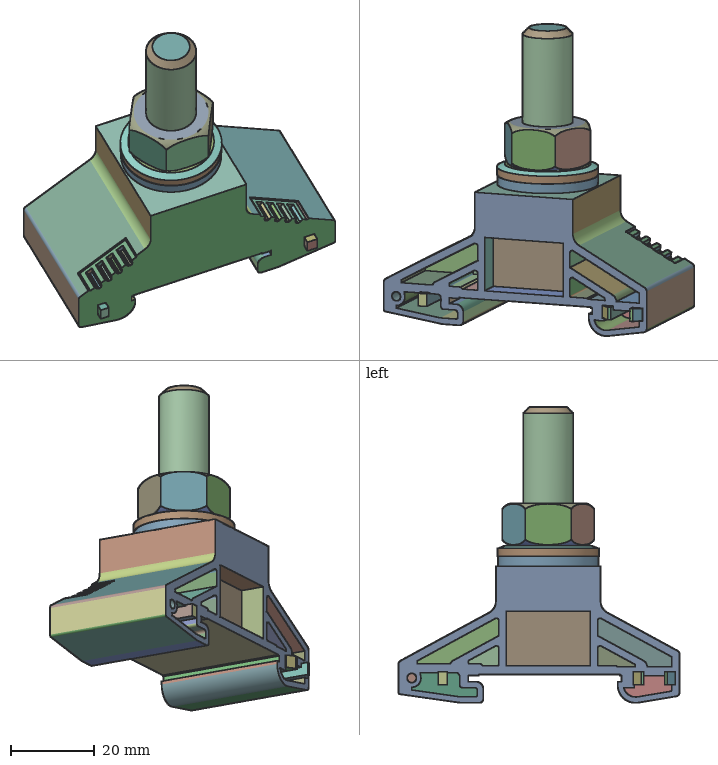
import cadquery as cq
import math


width = 32.0
x_min = -width / 2
x_max = width / 2
end_pos = 35.7
end_neg = -31.3
block_half = 12.5
block_top = 32.6
neck_fillet = 3.0
end_fillet = 1.0

slope = math.radians(28.5)
roof_z_at_axis = 29.18
roof_wall = 1.95
upper_cavity_height = 4.0
rib = 1.77

rail_face = 6.75
rail_step = 0.22
rail_relief_pos = 16.5
rail_relief_neg = -17.05
slot_root_pos = 19.0
slot_root_neg = -17.4
hook_top = 5.1
hook_wall = 1.42

hook_pos_tip = 15.45
hook_pos_upper_radius = 1.75
hook_pos_lower_radius = 1.0
foot_pos_angle = math.radians(8.1)
foot_pos_start = 20.8
hook_neg_radius = 4.3
hook_neg_tip = -16.5
hook_neg_axis = hook_neg_tip - hook_neg_radius
foot_neg_angle = math.radians(9.5)

cavity_depth = width / 2
cavity_inner = 11.75
cavity_corner = 0.6
rib_nose_y = 23.55
rib_nose_radius = 1.7

pocket_size_y = 20.0
pocket_bottom = 8.85
pocket_top = 21.8
pocket_depth = 6.0

latch_hole_y = 32.5
latch_hole_z = 5.95
latch_hole_diameter = 2.2
latch_hole_rim = 2.2

pin_length = 1.8
pin_root = 1.0
pin_bottom = 4.4
pin_top = 7.45
near_pin_range = (24.1, 26.25)
far_pin_ranges = ((27.6, 30.2), (-26.35, -24.25))
clip_middle = -25.25
clip_inner = 2.45
clip_tip = 3.15
clip_outer = 5.05
clip_lead_in = 1.4

seat_centre_y = 22.5
seat_length = 14.34
seat_flank_depth = 0.12
seat_bevel = 0.35
seat_width = 6.25
notch_count = 4
notch_pitch = 3.06
notch_length = 1.87
notch_width = 5.3
flank_lean = math.radians(18)
notch_flank_depth = 0.92
notch_bevel = 0.35

stud_diameter = 12.0
stud_top = 70.55
stud_chamfer = 1.55
washer_diameter = 24.0
washer_top = 34.9
spring_diameter = 24.2
spring_edge = 36.8
spring_top = 37.5
spring_top_diameter = 20.5
nut_across_flats = 19.0
nut_top = 47.6
nut_face_diameter = 17.8
nut_flat_drop = 0.2
nut_corner_drop = 1.4


def roof_z(y, below=0.0):
    """Height at y of a line parallel to the roof, lying `below` it (square to the roof)."""
    return roof_z_at_axis - abs(y) * math.tan(slope) - below / math.cos(slope)


def foot_pos_z(y, inset=0.0):
    """Height of the rising +Y foot, or of a line `inset` inside it."""
    return (y - foot_pos_start) * math.tan(foot_pos_angle) + inset / math.cos(foot_pos_angle)


def foot_neg_z(y, inset=0.0):
    """Height of the -Y foot, tangent to the round hook, or of a line `inset` inside it."""
    tangent_drop = (hook_neg_radius - inset) / math.cos(foot_neg_angle)
    return hook_neg_radius - tangent_drop + (hook_neg_axis - y) * math.tan(foot_neg_angle)


def rounded_prism(corners, x_start, length):
    """Prism along X from (y, z, corner radius) corners; a zero radius stays sharp."""
    outline = None
    for i, (y, z, radius) in enumerate(corners):
        corner = cq.Vector(y, z)
        if radius == 0:
            enter, middle, leave = corner, None, corner
        else:
            to_last = (cq.Vector(*corners[i - 1][:2]) - corner).normalized()
            to_next = (cq.Vector(*corners[(i + 1) % len(corners)][:2]) - corner).normalized()
            half_angle = to_last.getAngle(to_next) / 2
            setback = radius / math.tan(half_angle)
            enter = corner + to_last * setback
            leave = corner + to_next * setback
            bisector = (to_last + to_next).normalized()
            middle = corner + bisector * (radius / math.sin(half_angle) - radius)
        if outline is None:
            outline = cq.Workplane("YZ", origin=(x_start, 0, 0)).moveTo(enter.x, enter.y)
        else:
            outline = outline.lineTo(enter.x, enter.y)
        if middle is not None:
            outline = outline.threePointArc((middle.x, middle.y), (leave.x, leave.y))
    return outline.close().extrude(length)


def cavity(corners):
    return rounded_prism(corners, x_min, cavity_depth)


def box(x_range, y_range, z_range):
    size = [high - low for low, high in (x_range, y_range, z_range)]
    return cq.Workplane("XY").box(*size, centered=False).translate((x_range[0], y_range[0], z_range[0]))


def housing_blank():
    relief = rail_face - rail_step
    return rounded_prism(
        [
            (block_half, block_top, 0),
            (block_half, roof_z(block_half), neck_fillet),
            (end_pos, roof_z(end_pos), end_fillet),
            (end_pos, foot_pos_z(end_pos), end_fillet / 2),
            (foot_pos_start, 0, 0),
            (hook_pos_tip, 0, hook_pos_lower_radius),
            (hook_pos_tip, hook_top, hook_pos_upper_radius),
            (slot_root_pos, hook_top, 0),
            (slot_root_pos, relief, 0),
            (rail_relief_pos, relief, 0),
            (rail_relief_pos, rail_face, 0),
            (rail_relief_neg, rail_face, 0),
            (rail_relief_neg, relief, 0),
            (slot_root_neg, relief, 0),
            (slot_root_neg, hook_top, 0),
            (hook_neg_tip, hook_top, 0),
            (hook_neg_tip, foot_neg_z(hook_neg_tip), hook_neg_radius),
            (end_neg, foot_neg_z(end_neg), end_fillet),
            (end_neg, roof_z(end_neg), end_fillet),
            (-block_half, roof_z(-block_half), neck_fillet),
            (-block_half, block_top, 0),
        ],
        x_min,
        width,
    )


def upper_cavities():
    rib_top = roof_wall + upper_cavity_height
    floor_pos = 9.34
    outer_pos = 31.2
    rib_end_pos = 22.85
    rib_end_run = 0.5
    long_wing = cavity([
        (cavity_inner, roof_z(cavity_inner, roof_wall), cavity_corner),
        (outer_pos, roof_z(outer_pos, roof_wall), 0),
        (outer_pos, floor_pos, 0),
        (rib_end_pos + rib_end_run, floor_pos, 0),
        (rib_end_pos, roof_z(rib_end_pos, rib_top), cavity_corner),
        (cavity_inner, roof_z(cavity_inner, rib_top), 0),
    ])
    floor_neg = 8.6
    outer_neg = -29.37
    short_wing = cavity([
        (-cavity_inner, roof_z(cavity_inner, roof_wall), cavity_corner),
        (outer_neg, roof_z(outer_neg, roof_wall), 0),
        (outer_neg, floor_neg, 0),
        (-rib_nose_y, floor_neg, 0),
        (-rib_nose_y, roof_z(rib_nose_y, rib_top), rib_nose_radius),
        (-cavity_inner, roof_z(cavity_inner, rib_top), 0),
    ])
    return long_wing.union(short_wing)


def lower_cavities():
    roof = roof_wall + upper_cavity_height + rib
    floor_inner = 8.87
    tip_radius = 0.25
    floor_pos = 9.34
    tip_pos = 19.0
    ramp_pos = (15.6, 16.1)
    long_wing = cavity([
        (cavity_inner, roof_z(cavity_inner, roof), cavity_corner),
        (tip_pos, roof_z(tip_pos, roof), tip_radius),
        (tip_pos, floor_pos, tip_radius),
        (ramp_pos[1], floor_pos, 0),
        (ramp_pos[0], floor_inner, 0),
        (cavity_inner, floor_inner, cavity_corner / 2),
    ])
    floor_neg = 8.64
    tip_neg = -20.68
    ramp_neg = (-16.1, -16.5)
    short_wing = cavity([
        (-cavity_inner, roof_z(cavity_inner, roof), cavity_corner),
        (tip_neg, roof_z(tip_neg, roof), tip_radius),
        (tip_neg, floor_neg, 0),
        (ramp_neg[1], floor_neg, 0),
        (ramp_neg[0], floor_inner, 0),
        (-cavity_inner, floor_inner, cavity_corner / 2),
    ])
    return long_wing.union(short_wing)


def latch_cylinder(radius):
    return (
        cq.Workplane("YZ", origin=(x_min, latch_hole_y, latch_hole_z))
        .circle(radius)
        .extrude(cavity_depth)
    )


def long_wing_hook_cavity():
    top = 7.2
    arm_top = hook_top - hook_wall
    arm_tip = hook_pos_tip + hook_wall
    arm_root = 21.1
    arm_floor = 1.5
    floor_bend = foot_pos_start + 0.5
    arm_tip_radius = 0.7
    arm_floor_radius = 0.4
    root_upper_radius = 0.9
    root_lower_radius = 0.6
    outer = 30.5
    pocket = cavity([
        (outer, top, 0),
        (arm_root, top, root_upper_radius),
        (arm_root, arm_top, root_lower_radius),
        (arm_tip, arm_top, arm_tip_radius),
        (arm_tip, arm_floor, arm_floor_radius),
        (floor_bend, arm_floor, 0),
        (latch_hole_y, foot_pos_z(latch_hole_y, hook_wall), 0),
        (latch_hole_y, latch_hole_z, 0),
        (outer, latch_hole_z, 0),
    ])
    return pocket.cut(latch_cylinder(latch_hole_rim))


def short_wing_hook_cavity():
    top = 6.5
    arm_top = hook_top - hook_wall
    arm_tip = hook_neg_tip - hook_wall
    arm_root = -20.45
    outer = -29.37
    outer_radius = 0.3
    nose_radius = hook_neg_radius - hook_wall
    pocket = cavity([
        (outer, top, 0),
        (arm_tip, top, 0),
        (arm_tip, foot_neg_z(arm_tip, hook_wall), nose_radius),
        (outer, foot_neg_z(outer, hook_wall), outer_radius),
    ])
    arm = box((x_min, x_max), (arm_root, hook_neg_tip), (arm_top, top))
    return pocket.cut(arm)


def trough(centre, length, top, flank_depth, bevel):
    """Trough section: leaning flanks from depth `top`, then 45 degree bevels to a flat floor."""
    mouth = length / 2
    shoulder = mouth - flank_depth * math.tan(flank_lean)
    flank_end = top + flank_depth
    half = [(mouth, top), (shoulder, flank_end), (shoulder - bevel, flank_end + bevel)]
    other_half = [(-u, depth) for u, depth in reversed(half)]
    return [(centre + u, depth) for u, depth in half + other_half]


def marker_seat():
    """Seat with notches in the +Y roof; local axes are uphill along the roof and into it."""
    def sunk_prism(points, x_width):
        plane = cq.Plane(
            origin=(x_max - x_width, seat_centre_y, roof_z(seat_centre_y)),
            xDir=(0, -math.cos(slope), math.sin(slope)),
            normal=(1, 0, 0),
        )
        return cq.Workplane(plane).polyline(points).close().extrude(x_width)

    seat = sunk_prism(trough(0, seat_length, 0, seat_flank_depth, seat_bevel), seat_width)
    seat_floor = seat_flank_depth + seat_bevel
    for i in range(notch_count):
        centre = (i - (notch_count - 1) / 2) * notch_pitch
        notch = trough(centre, notch_length, seat_floor, notch_flank_depth, notch_bevel)
        seat = seat.union(sunk_prism(notch, notch_width))
    return seat


def side_pins():
    """Square pins and clips on the side faces; on the -X face they start at the cavity floor."""
    z_range = (pin_bottom, pin_top)
    cavity_floor = x_min + cavity_depth
    tip_x = x_min - pin_length
    pins = box((tip_x, cavity_floor), near_pin_range, z_range)
    for y_range in far_pin_ranges:
        pins = pins.union(box((x_max - pin_root, x_max + pin_length), y_range, z_range))
    for side in (1, -1):
        flanks = [
            (cavity_floor, clip_inner),
            (tip_x, clip_inner),
            (tip_x, clip_tip),
            (tip_x + clip_lead_in, clip_outer),
            (cavity_floor, clip_outer),
        ]
        clip = (
            cq.Workplane("XY", origin=(0, 0, pin_bottom))
            .polyline([(x, clip_middle + side * offset) for x, offset in flanks])
            .close()
            .extrude(pin_top - pin_bottom)
        )
        pins = pins.union(clip)
    return pins


def make_housing():
    body = housing_blank()
    body = body.cut(upper_cavities()).cut(lower_cavities())
    body = body.cut(long_wing_hook_cavity()).cut(short_wing_hook_cavity())
    half_pocket = pocket_size_y / 2
    body = body.cut(
        box((x_min, x_min + pocket_depth), (-half_pocket, half_pocket), (pocket_bottom, pocket_top))
    )
    body = body.cut(latch_cylinder(latch_hole_diameter / 2))
    seat = marker_seat()
    body = body.cut(seat).cut(seat.mirror("XZ"))
    return body.union(side_pins())


def make_nut():
    corner_radius = nut_across_flats / math.sqrt(3)
    corner_turn = 30
    face_radius = nut_face_diameter / 2
    flat_radius = nut_across_flats / 2
    hexagon = (
        cq.Workplane("XY", origin=(0, 0, spring_top))
        .polygon(6, 2 * corner_radius)
        .extrude(nut_top - spring_top)
        .rotate((0, 0, 0), (0, 0, 1), corner_turn)
    )
    crowned_envelope = (
        cq.Workplane("XZ")
        .moveTo(0, spring_top)
        .lineTo(face_radius, spring_top)
        .threePointArc(
            (flat_radius, spring_top + nut_flat_drop),
            (corner_radius, spring_top + nut_corner_drop),
        )
        .lineTo(corner_radius, nut_top - nut_corner_drop)
        .threePointArc((flat_radius, nut_top - nut_flat_drop), (face_radius, nut_top))
        .lineTo(0, nut_top)
        .close()
        .revolve(360, (0, 0), (0, 1))
    )
    return hexagon.intersect(crowned_envelope)


def make_stud():
    """Stud with flat washer, bevelled spring washer and nut as one body."""
    stud_radius = stud_diameter / 2
    turned = (
        cq.Workplane("XZ")
        .polyline([
            (0, block_top),
            (washer_diameter / 2, block_top),
            (washer_diameter / 2, washer_top),
            (spring_diameter / 2, washer_top),
            (spring_diameter / 2, spring_edge),
            (spring_top_diameter / 2, spring_top),
            (stud_radius, spring_top),
            (stud_radius, stud_top - stud_chamfer),
            (stud_radius - stud_chamfer, stud_top),
            (0, stud_top),
        ])
        .close()
        .revolve(360, (0, 0), (0, 1))
    )
    return turned.union(make_nut())


housing = make_housing()
stud = make_stud()
result = cq.Compound.makeCompound([housing.val(), stud.val()])